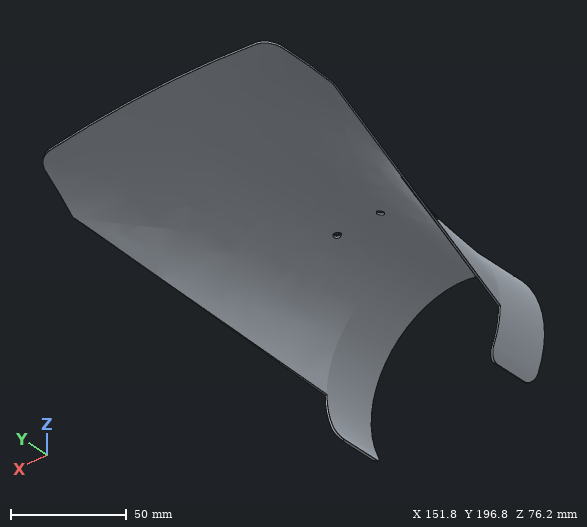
import cadquery as cq
import math

total_length = 196.8
tip_half_width = 75.89
wall = 1.2

band_radius = 51.0
band_length = 28.7
band_drop = 25.2
band_corner_radius = 6.0

tip_y = 163.8
tip_z = 35.6
far_half_width = 67.3
far_corner_radius = 9.8

hole_diameter = 3.5
hole_spacing = 25.2
hole_y = 63.5

edge_stretch = (total_length - band_length) / (tip_y - band_length)
far_edge_x = band_radius + (tip_half_width - band_radius) * edge_stretch
far_edge_z = tip_z * edge_stretch
far_rise = band_radius - far_edge_z
far_radius = (far_edge_x**2 + far_rise**2) / (2 * far_rise)
far_half_angle = math.asin(far_edge_x / far_radius)

cut_margin = 9.8
cutter_height = 2 * band_radius


def arc_strip(y, radius, half_angle):
    """Closed wire of a wall-thick arc, symmetric about X = 0, with its crown at band_radius."""
    center_z = band_radius - radius

    def point(distance, angle):
        return cq.Vector(distance * math.sin(angle), y, center_z + distance * math.cos(angle))

    def arc(distance):
        return cq.Edge.makeThreePointArc(
            point(distance, -half_angle), point(distance, 0), point(distance, half_angle)
        )

    inner = radius - wall
    ends = [
        cq.Edge.makeLine(point(radius, angle), point(inner, angle))
        for angle in (half_angle, -half_angle)
    ]
    return cq.Wire.assembleEdges([arc(radius), ends[0], arc(inner), ends[1]])


def make_band():
    half_angle = math.pi - math.acos(band_drop / band_radius)
    profile = cq.Face.makeFromWires(arc_strip(0, band_radius, half_angle))
    band = cq.Workplane(obj=cq.Solid.extrudeLinear(profile, cq.Vector(0, band_length, 0)))
    rounded_side = (
        cq.Workplane("YZ")
        .rect(band_length, band_drop + band_radius)
        .extrude(band_radius + cut_margin, both=True)
        .edges("|X and <Z")
        .fillet(band_corner_radius)
        .translate((0, band_length / 2, (band_radius - band_drop) / 2))
    )
    return band.intersect(rounded_side)


def make_visor():
    sheet = cq.Solid.makeLoft(
        [
            arc_strip(band_length, band_radius, math.pi / 2),
            arc_strip(total_length, far_radius, far_half_angle),
        ],
        True,
    )
    outer_x = far_edge_x + cut_margin
    outline = (
        cq.Workplane("XY")
        .polyline([
            (-outer_x, band_length),
            (outer_x, band_length),
            (outer_x, tip_y),
            (tip_half_width, tip_y),
            (far_half_width, total_length),
            (-far_half_width, total_length),
            (-tip_half_width, tip_y),
            (-outer_x, tip_y),
        ])
        .close()
        .extrude(cutter_height, both=True)
        .edges("|Z and >Y")
        .fillet(far_corner_radius)
    )
    return cq.Workplane(obj=sheet).intersect(outline)


def make_holes():
    return (
        cq.Workplane("XY")
        .pushPoints([(side * hole_spacing / 2, hole_y) for side in (-1, 1)])
        .circle(hole_diameter / 2)
        .extrude(cutter_height)
    )


result = make_band().union(make_visor()).cut(make_holes())